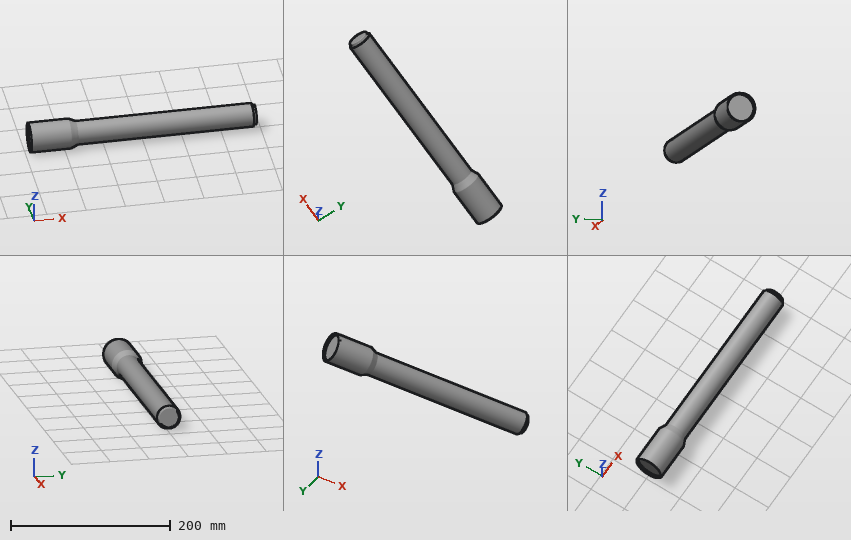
import cadquery as cq

total_length = 287.3

head_diameter = 38.0
head_length = 50.8
recess_diameter = 34.5
recess_depth = 2.5

taper_length = 9.3

tube_diameter = 30.0
cap_diameter = 25.5
cap_length = 4.0

rim_fillet = 0.2
taper_fillet = 1.5
cap_root_fillet = 0.7
cap_end_fillet = 0.5

match_tolerance = 0.01

taper_end = head_length + taper_length
tube_end = total_length - cap_length


def revolved_body():
    """Solid of revolution about X: head, taper, tube and end cap."""
    half_profile = (
        cq.Workplane("XY")
        .moveTo(0, 0)
        .lineTo(0, head_diameter / 2)
        .lineTo(head_length, head_diameter / 2)
        .lineTo(taper_end, tube_diameter / 2)
        .lineTo(tube_end, tube_diameter / 2)
        .lineTo(tube_end, cap_diameter / 2)
        .lineTo(total_length, cap_diameter / 2)
        .lineTo(total_length, 0)
        .close()
    )
    return half_profile.revolve(360, (0, 0, 0), (1, 0, 0))


def round_edge(body, station, diameter, radius):
    """Fillet the circular edge of the given diameter at a station along X."""

    def is_target(edge):
        same_station = abs(edge.Center().x - station) < match_tolerance
        same_radius = abs(edge.radius() - diameter / 2) < match_tolerance
        return same_station and same_radius

    return body.edges("%CIRCLE").filter(is_target).fillet(radius)


def front_recess():
    """Round disc removed from the front face to leave a thin rim."""
    return cq.Workplane("YZ").circle(recess_diameter / 2).extrude(recess_depth)


rounded_edges = (
    (0, head_diameter, rim_fillet),
    (head_length, head_diameter, taper_fillet),
    (taper_end, tube_diameter, taper_fillet),
    (tube_end, cap_diameter, cap_root_fillet),
    (total_length, cap_diameter, cap_end_fillet),
)

result = revolved_body()
for station, diameter, radius in rounded_edges:
    result = round_edge(result, station, diameter, radius)
result = result.cut(front_recess())